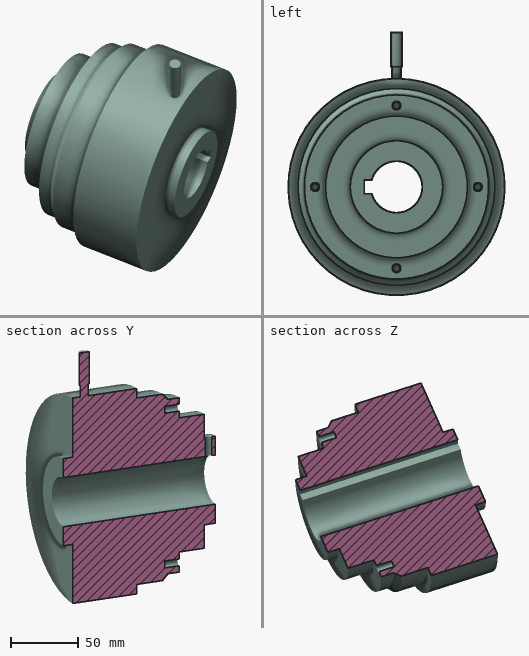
import cadquery as cq

total_length = 125.22
lever_top = 114.52

hub_diameter = 68.4
collar_start = 9.0
collar_diameter = 105.0
rim_start = 29.5
rim_diameter = 136.4
cone_start = 39.0
cone_end = 43.5
shoulder_diameter = 145.8
drum_start = 64.5
drum_diameter = 160.6
drum_end = 117.3

bore_diameter = 38.0
keyway_width = 10.0
keyway_reach = 23.8

hole_diameter = 5.0
countersink_diameter = 6.4
face_hole_count = 4
face_hole_circle = 120.6
face_hole_depth = 12.0
set_screw_x = 5.5

lever_x = 107.7
lever_stem_diameter = 7.0
lever_grip_diameter = 8.5
lever_grip_length = 25.4


def make_body():
    """Revolve the stepped half profile about the X axis."""
    profile = (
        cq.Workplane("XZ")
        .moveTo(0, 0)
        .lineTo(0, hub_diameter / 2)
        .lineTo(collar_start, hub_diameter / 2)
        .lineTo(collar_start, collar_diameter / 2)
        .lineTo(rim_start, collar_diameter / 2)
        .lineTo(rim_start, rim_diameter / 2)
        .lineTo(cone_start, rim_diameter / 2)
        .lineTo(cone_end, shoulder_diameter / 2)
        .lineTo(drum_start, shoulder_diameter / 2)
        .lineTo(drum_start, drum_diameter / 2)
        .lineTo(drum_end, drum_diameter / 2)
        .lineTo(drum_end, hub_diameter / 2)
        .lineTo(total_length, hub_diameter / 2)
        .lineTo(total_length, 0)
        .close()
    )
    return profile.revolve(360, (0, 0, 0), (1, 0, 0))


def make_lever():
    """Thin stem rooted in the drum, with a thicker grip at its upper end."""
    stem_root = shoulder_diameter / 2
    grip_bottom = lever_top - lever_grip_length
    stem = (
        cq.Workplane("XY", origin=(lever_x, 0, stem_root))
        .circle(lever_stem_diameter / 2)
        .extrude(grip_bottom - stem_root)
    )
    grip = (
        cq.Workplane("XY", origin=(lever_x, 0, grip_bottom))
        .circle(lever_grip_diameter / 2)
        .extrude(lever_grip_length)
    )
    return stem.union(grip)


def make_bore():
    """Through bore with one keyway on the +Y side."""
    bore = cq.Workplane("YZ").circle(bore_diameter / 2).extrude(total_length)
    keyway = cq.Workplane("XY").box(
        total_length, keyway_reach, keyway_width, centered=(False, False, True)
    )
    return bore.union(keyway)


def make_hole(entry, direction, depth):
    """Countersunk hole cutter going from the entry point along the direction."""
    countersink_depth = (countersink_diameter - hole_diameter) / 2
    axis = cq.Vector(*direction)
    point = cq.Vector(*entry)
    core = cq.Solid.makeCylinder(hole_diameter / 2, depth, point, axis)
    countersink = cq.Solid.makeCone(
        countersink_diameter / 2, hole_diameter / 2, countersink_depth, point, axis
    )
    return cq.Workplane(obj=core).union(cq.Workplane(obj=countersink))


def cut_face_holes(body):
    """Blind holes evenly spaced on the front face of the rim."""
    top_hole = make_hole((rim_start, 0, face_hole_circle / 2), (1, 0, 0), face_hole_depth)
    for index in range(face_hole_count):
        angle = index * 360 / face_hole_count
        body = body.cut(top_hole.rotate((0, 0, 0), (1, 0, 0), angle))
    return body


def cut_set_screw_hole(body):
    """Radial hole from the top of the hub into the bore."""
    hub_top = hub_diameter / 2
    return body.cut(make_hole((set_screw_x, 0, hub_top), (0, 0, -1), hub_top))


result = make_body().union(make_lever()).cut(make_bore())
result = cut_face_holes(result)
result = cut_set_screw_hole(result)